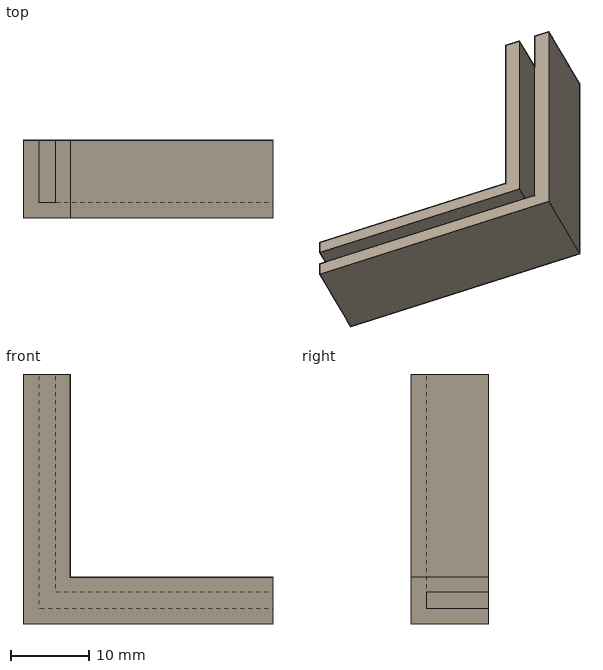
import cadquery as cq

arm_length = 32.0
depth = 10.0
arm_width = 6.0
wall = 2.0
groove_width = 2.1
groove_depth = 8.0


def corner_profile(offset, width):
    """L outline in XZ whose outer edges lie at the given offset from the corner."""
    inner = offset + width
    return [
        (offset, offset),
        (arm_length, offset),
        (arm_length, inner),
        (inner, inner),
        (inner, arm_length),
        (offset, arm_length),
    ]


def corner_prism(offset, width, y_start, length):
    """L outline extruded toward +Y from y_start."""
    return (
        cq.Workplane("XZ", origin=(0, y_start, 0))
        .polyline(corner_profile(offset, width))
        .close()
        .extrude(-length)
    )


body = corner_prism(0, arm_width, 0, depth)

groove = corner_prism(wall, groove_width, depth - groove_depth, groove_depth)

result = body.cut(groove)